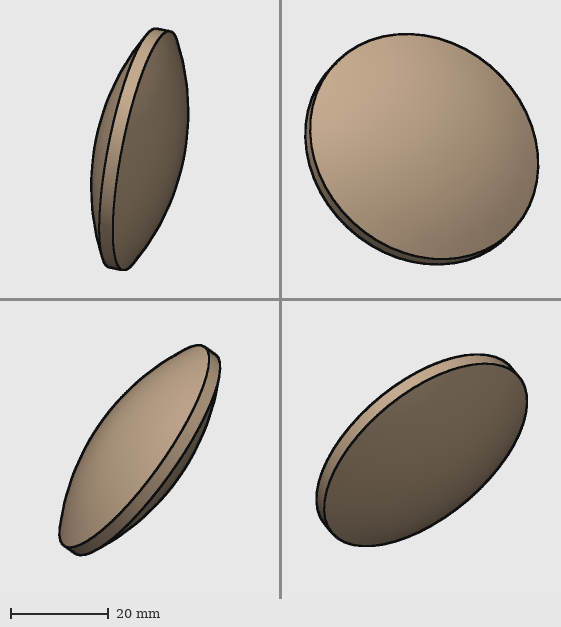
import cadquery as cq

diameter = 50.0
center_thickness = 16.85
edge_thickness = 2.9

radius = diameter / 2
half_center = center_thickness / 2
half_edge = edge_thickness / 2

cap_height = half_center - half_edge
sphere_radius = (radius**2 + cap_height**2) / (2 * cap_height)
sphere_center = half_center - sphere_radius

mid_height = radius / 2
mid_x = sphere_center + (sphere_radius**2 - mid_height**2) ** 0.5

half_section = (
    cq.Workplane("XZ")
    .moveTo(-half_center, 0)
    .threePointArc((-mid_x, mid_height), (-half_edge, radius))
    .lineTo(half_edge, radius)
    .threePointArc((mid_x, mid_height), (half_center, 0))
    .close()
)

result = half_section.revolve(360, (0, 0, 0), (1, 0, 0))